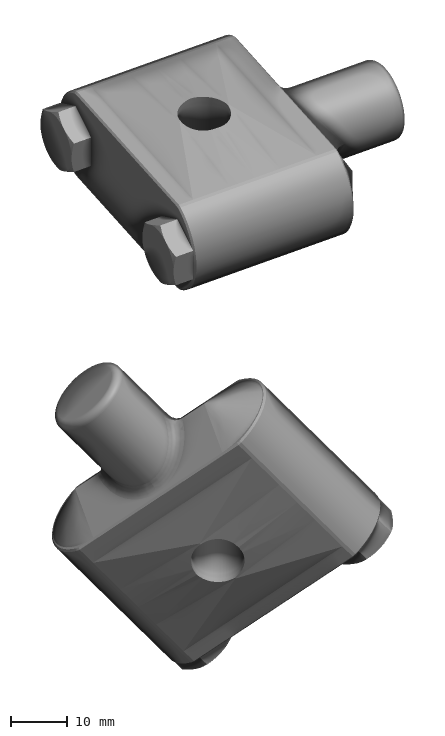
import cadquery as cq
import math

body_length = 48.95
body_half_height = 9.55
body_front_y = -15.8
body_back_y = 16.7
body_edge_chamfer = 0.35
flat_half_length = 18.15
shoulder_run = 0.6
shoulder_drop = 0.15

cross_hole_diameter = 9.5

pad_half_width = 12.6
pad_crease_y = 5.0
pad_crease_height = 1.9
pads_overall_height = 22.85

cap_ridge_half_length = 14.75
cap_ridge_y = 21.75

shank_diameter = 15.05
shank_end_y = 37.0
shank_end_round = 1.3
shank_root_fillet = 2.25

bolt_x = 18.25
bolt_across_flats = 11.2
bolt_head_height = 4.0
bolt_chamfer_angle = 30


def make_body():
    """Flat-sided block with bulged ends, extruded along Y."""
    shoulder_x = flat_half_length + shoulder_run
    shoulder_z = body_half_height - shoulder_drop
    end_rise = body_length / 2 - shoulder_x
    end_radius = (end_rise**2 + shoulder_z**2) / (2 * end_rise)
    profile = (
        cq.Workplane("XZ", origin=(0, body_back_y, 0))
        .moveTo(-flat_half_length, body_half_height)
        .lineTo(flat_half_length, body_half_height)
        .lineTo(shoulder_x, shoulder_z)
        .radiusArc((shoulder_x, -shoulder_z), end_radius)
        .lineTo(flat_half_length, -body_half_height)
        .lineTo(-flat_half_length, -body_half_height)
        .lineTo(-shoulder_x, -shoulder_z)
        .radiusArc((-shoulder_x, shoulder_z), end_radius)
        .close()
    )
    return profile.extrude(body_back_y - body_front_y).faces("<Y or >Y").chamfer(body_edge_chamfer)


def make_pad_quarter():
    """One quarter of the upper pad, reaching down to the mid-plane of the body."""
    x, y, z = flat_half_length, pad_half_width, body_half_height
    rim_height = pads_overall_height / 2 - body_half_height
    peak_height = rim_height * x / (x - cross_hole_diameter / 2)
    side_middle = (0, y, z)
    corner = (x, y, z)
    crease_end = (x, pad_crease_y, z)
    ridge_end = (x, 0, z)
    crease_top = (0, pad_crease_y, z + pad_crease_height)
    peak = (0, 0, z + peak_height)
    floor = [(0, 0, 0), (x, 0, 0), (x, y, 0), (0, y, 0)]

    def flat_face(*points):
        return cq.Face.makeFromWires(cq.Wire.makePolygon([cq.Vector(*p) for p in points], close=True))

    def line(start, end):
        return cq.Edge.makeLine(cq.Vector(*start), cq.Vector(*end))

    faces = [
        flat_face(*floor),
        flat_face(floor[0], floor[1], ridge_end, peak),
        flat_face(floor[1], floor[2], corner, crease_end, ridge_end),
        flat_face(floor[2], floor[3], side_middle, corner),
        flat_face(floor[3], floor[0], peak, crease_top, side_middle),
        flat_face(side_middle, corner, crease_top),
        flat_face(corner, crease_end, crease_top),
        cq.Face.makeRuledSurface(line(crease_end, crease_top), line(ridge_end, peak)),
    ]
    return cq.Workplane(cq.Solid.makeSolid(cq.Shell.makeShell(faces)).fix())


def make_pads():
    """Upper and lower pads, mirrored from one quarter."""
    pads = make_pad_quarter()
    for plane in ("YZ", "XZ", "XY"):
        pads = pads.union(pads.mirror(plane))
    return pads


def make_cap():
    """Triangular ridge along X between two cones."""
    height = cap_ridge_y - body_back_y
    base_half_height = body_half_height - body_edge_chamfer
    ridge = (
        cq.Workplane("YZ", origin=(-cap_ridge_half_length, 0, 0))
        .moveTo(body_back_y, -base_half_height)
        .lineTo(cap_ridge_y, 0)
        .lineTo(body_back_y, base_half_height)
        .close()
        .extrude(2 * cap_ridge_half_length)
    )
    for side in (-1, 1):
        base_center = cq.Vector(side * cap_ridge_half_length, body_back_y, 0)
        cone = cq.Solid.makeCone(base_half_height, 0, height, base_center, cq.Vector(0, 1, 0))
        ridge = ridge.union(cq.Workplane(cone))
    return ridge


def make_shank():
    """Round bar along Y with a rounded end; the turn keeps its seam off the cap ridge."""
    return (
        cq.Workplane("XZ")
        .circle(shank_diameter / 2)
        .extrude(-shank_end_y)
        .faces(">Y")
        .edges()
        .fillet(shank_end_round)
        .rotate((0, 0, 0), (0, 1, 0), 90)
    )


def make_bolt_head(x):
    """Hexagonal head with corners along Z and a conical chamfer on its outer face."""
    corner_diameter = bolt_across_flats / math.cos(math.pi / 6)
    face_radius = bolt_across_flats / 2
    cone_base_radius = face_radius + bolt_head_height / math.tan(math.radians(bolt_chamfer_angle))
    hexagon = (
        cq.Workplane("XZ")
        .polygon(6, corner_diameter)
        .extrude(bolt_head_height)
        .rotate((0, 0, 0), (0, 1, 0), 90)
    )
    cone = cq.Solid.makeCone(
        cone_base_radius, face_radius, bolt_head_height, cq.Vector(0, 0, 0), cq.Vector(0, -1, 0)
    )
    return hexagon.intersect(cq.Workplane(cone)).translate((x, body_front_y, 0))


part = make_body().union(make_cap()).union(make_shank())
part = part.edges("%ELLIPSE").fillet(shank_root_fillet)
part = part.union(make_pads())
for bolt_side in (-1, 1):
    part = part.union(make_bolt_head(bolt_side * bolt_x))

cross_hole = cq.Workplane("XY").circle(cross_hole_diameter / 2).extrude(pads_overall_height, both=True)
result = part.cut(cross_hole)